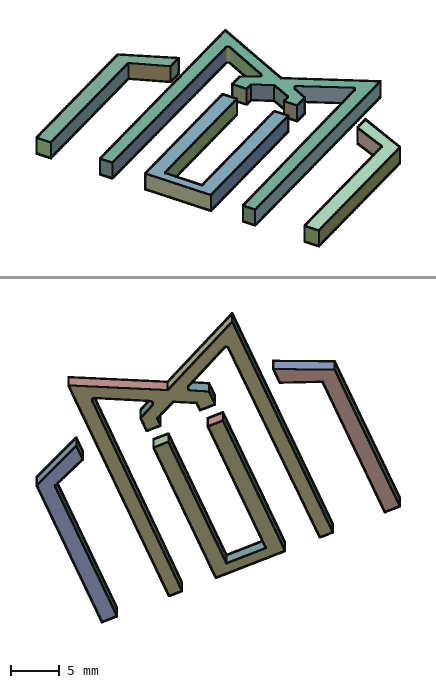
import cadquery as cq

thickness = 2.0

overall_width = 33.22
hook_leg_width = 1.7
left_hook_tip_x = -10.85
right_hook_tip_x = 11.1
hook_shoulder_y = 16.9
hook_tip_top_y = 19.45
hook_tip_bottom_y = 17.75
hook_inner_corner_y = 16.1

frame_half_width = 9.15
frame_height = 26.05
leg_inner_bottom_x = 7.67
leg_inner_top_x = 7.57
window_top_y = 23.82
valley_y = 21.53
window_apex_x = 1.63
window_apex_y = 20.83
window_corner_radius = 0.23
apex_radius = 0.3

foot_outer_x = 3.82
foot_shoulder_y = 19.7
foot_inner_top_y = 19.0
foot_bottom_y = 18.1
crossing_bottom_y = 20.05

channel_left_x = -foot_outer_x
channel_right_x = 3.92
slot_left_x = -2.13
slot_right_x = 2.25
channel_height = 16.1
channel_floor = 1.1


def plate(points):
    """Extrude a closed outline to the common thickness."""
    return cq.Workplane("XY").polyline(points).close().extrude(thickness)


def round_corner(body, x, y, radius):
    """Fillet the vertical edge that passes through (x, y)."""
    edge = cq.selectors.NearestToPointSelector((x, y, thickness / 2))
    return body.edges("|Z").edges(edge).fillet(radius)


def make_hook(side, tip_x):
    """Leg with a sloping arm; side is -1 for left and 1 for right."""
    outer_x = side * overall_width / 2
    inner_x = outer_x - side * hook_leg_width
    return plate([
        (outer_x, 0),
        (outer_x, hook_shoulder_y),
        (tip_x, hook_tip_top_y),
        (tip_x, hook_tip_bottom_y),
        (inner_x, hook_inner_corner_y),
        (inner_x, 0),
    ])


def frame_side(side, foot_inner_x):
    """Outline of one half of the frame, from the valley to the inside of its foot."""
    return [
        (side * frame_half_width, frame_height),
        (side * frame_half_width, 0),
        (side * leg_inner_bottom_x, 0),
        (side * leg_inner_top_x, window_top_y),
        (side * window_apex_x, window_apex_y),
        (side * foot_outer_x, foot_shoulder_y),
        (side * foot_outer_x, foot_bottom_y),
        (foot_inner_x, foot_bottom_y),
        (foot_inner_x, foot_inner_top_y),
    ]


def make_frame():
    """M-shaped frame with crossing diagonals and rounded inner corners."""
    right_side = frame_side(1, slot_right_x)
    left_side = frame_side(-1, slot_left_x)
    outline = [(0, valley_y)] + right_side + [(0, crossing_bottom_y)] + left_side[::-1]
    body = plate(outline)
    for side in (-1, 1):
        body = round_corner(body, side * leg_inner_top_x, window_top_y, window_corner_radius)
        body = round_corner(body, side * window_apex_x, window_apex_y, apex_radius)
    return body


def make_channel():
    """U-shaped channel, open toward the feet of the frame."""
    return plate([
        (channel_left_x, 0),
        (channel_right_x, 0),
        (channel_right_x, channel_height),
        (slot_right_x, channel_height),
        (slot_right_x, channel_floor),
        (slot_left_x, channel_floor),
        (slot_left_x, channel_height),
        (channel_left_x, channel_height),
    ])


hooks = [make_hook(side, tip_x) for side, tip_x in [(-1, left_hook_tip_x), (1, right_hook_tip_x)]]
frame = make_frame()
channel = make_channel()

result = cq.Compound.makeCompound([*[hook.val() for hook in hooks], frame.val(), channel.val()])